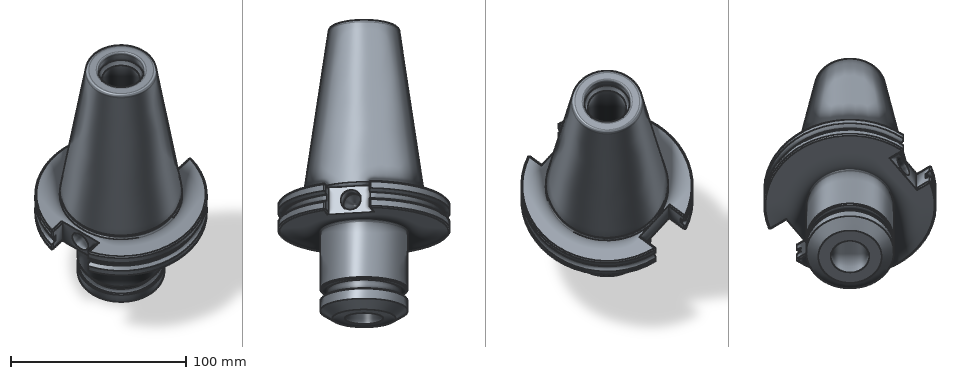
import cadquery as cq
import math

TOTAL_HEIGHT = 172.3
FLANGE_BOTTOM = 51.9
FLANGE_TOP = 67.9
GAUGE_HEIGHT = 71.0

GAUGE_DIAMETER = 69.8
TAPER_RATIO = 7 / 24
TIP_FILLET = 1.9
RELIEF_RADIUS = 34.1
RELIEF_FILLET = 1.0

FLANGE_RADIUS = 49.1
FLANGE_CHAMFER = 0.9
GROOVE_FLOOR_RADIUS = 45.7
GROOVE_BOTTOM = 56.5
GROOVE_TOP = 63.2
GROOVE_SIDE_RISE = 1.5
GROOVE_STEP_RADIUS = 46.7

SLOT_WIDTH = 25.5
SLOT_CHAMFER = 0.9
FRONT_SLOT_FLOOR = 37.4
BACK_SLOT_FLOOR = 35.2

DIMPLE_DIAMETER = 11.7
DIMPLE_DEPTH = 8.6
DIMPLE_POINT_ANGLE = 118.0

BODY_RADIUS = 25.0
BODY_BOTTOM = 16.7
BODY_CHAMFER = 0.7
NECK_RADIUS = 24.8
NECK_FILLET = 0.7
RING_GROOVE_RADIUS = 21.0
COLLAR_TOP = 11.0
COLLAR_BOTTOM = 4.5
END_RADIUS = 18.1

BORE_DIAMETER = 21.9
COUNTERBORE_DIAMETER = 26.2
COUNTERBORE_DEPTH = 6.0
MOUTH_FILLET = 1.2


def make_body():
    """Revolved solid of the taper, flange and lower body."""
    gauge_radius = GAUGE_DIAMETER / 2
    tip_radius = gauge_radius - (TOTAL_HEIGHT - GAUGE_HEIGHT) * TAPER_RATIO / 2
    neck_bottom = FLANGE_BOTTOM - 2 * NECK_FILLET
    neck_top = FLANGE_BOTTOM - NECK_FILLET
    relief_height = FLANGE_TOP + RELIEF_FILLET
    rim_radius = FLANGE_RADIUS - FLANGE_CHAMFER
    arc_inset = 1 - math.sqrt(0.5)
    profile = (
        cq.Workplane("XZ")
        .lineTo(END_RADIUS, 0)
        .lineTo(BODY_RADIUS, COLLAR_BOTTOM)
        .lineTo(BODY_RADIUS, COLLAR_TOP - BODY_CHAMFER)
        .lineTo(BODY_RADIUS - BODY_CHAMFER, COLLAR_TOP)
        .lineTo(RING_GROOVE_RADIUS, COLLAR_TOP)
        .lineTo(RING_GROOVE_RADIUS, BODY_BOTTOM)
        .lineTo(BODY_RADIUS - BODY_CHAMFER, BODY_BOTTOM)
        .lineTo(BODY_RADIUS, BODY_BOTTOM + BODY_CHAMFER)
        .lineTo(BODY_RADIUS, neck_bottom)
        .lineTo(NECK_RADIUS, neck_top)
        .threePointArc(
            (NECK_RADIUS + NECK_FILLET * arc_inset, FLANGE_BOTTOM - NECK_FILLET * arc_inset),
            (NECK_RADIUS + NECK_FILLET, FLANGE_BOTTOM),
        )
        .lineTo(rim_radius, FLANGE_BOTTOM)
        .lineTo(FLANGE_RADIUS, FLANGE_BOTTOM + FLANGE_CHAMFER)
        .lineTo(FLANGE_RADIUS, GROOVE_BOTTOM)
        .lineTo(GROOVE_STEP_RADIUS, GROOVE_BOTTOM + GROOVE_SIDE_RISE)
        .lineTo(GROOVE_FLOOR_RADIUS, GROOVE_BOTTOM + GROOVE_SIDE_RISE)
        .lineTo(GROOVE_FLOOR_RADIUS, GROOVE_TOP - GROOVE_SIDE_RISE)
        .lineTo(GROOVE_STEP_RADIUS, GROOVE_TOP - GROOVE_SIDE_RISE)
        .lineTo(FLANGE_RADIUS, GROOVE_TOP)
        .lineTo(FLANGE_RADIUS, FLANGE_TOP - FLANGE_CHAMFER)
        .lineTo(rim_radius, FLANGE_TOP)
        .lineTo(RELIEF_RADIUS + RELIEF_FILLET, FLANGE_TOP)
        .threePointArc(
            (RELIEF_RADIUS + RELIEF_FILLET * arc_inset, FLANGE_TOP + RELIEF_FILLET * arc_inset),
            (RELIEF_RADIUS, relief_height),
        )
        .lineTo(gauge_radius, GAUGE_HEIGHT)
        .lineTo(tip_radius, TOTAL_HEIGHT)
        .lineTo(0, TOTAL_HEIGHT)
        .close()
    )
    body = profile.revolve(360, (0, 0, 0), (0, 1, 0))
    return body.faces(">Z").edges().fillet(TIP_FILLET)


def cut_bore(body):
    """Through bore with a 45 degree seat, a counterbore and a rounded mouth."""
    bore_radius = BORE_DIAMETER / 2
    counterbore_radius = COUNTERBORE_DIAMETER / 2
    seat_top = TOTAL_HEIGHT - COUNTERBORE_DEPTH
    seat_bottom = seat_top - (counterbore_radius - bore_radius)
    bore = (
        cq.Workplane("XZ")
        .lineTo(bore_radius, 0)
        .lineTo(bore_radius, seat_bottom)
        .lineTo(counterbore_radius, seat_top)
        .lineTo(counterbore_radius, TOTAL_HEIGHT)
        .lineTo(0, TOTAL_HEIGHT)
        .close()
        .revolve(360, (0, 0, 0), (0, 1, 0))
    )
    mouth = cq.selectors.RadiusNthSelector(0)
    return body.cut(bore).faces(">Z").edges(mouth).fillet(MOUTH_FILLET)


def cut_drive_slot(body, side, floor_distance):
    """Radial slot on one side (-1 or +1 along Y) with chamfered wall edges."""
    height = FLANGE_TOP - FLANGE_BOTTOM
    length = FLANGE_RADIUS - floor_distance
    middle = (FLANGE_BOTTOM + FLANGE_TOP) / 2
    slot = (
        cq.Workplane("XY")
        .box(SLOT_WIDTH, length, height)
        .translate((0, side * (floor_distance + length / 2), middle))
    )
    mouth_width = SLOT_WIDTH + 2 * SLOT_CHAMFER
    for face_height, inward in ((FLANGE_TOP, -1), (FLANGE_BOTTOM, 1)):
        flare = (
            cq.Workplane("XZ", origin=(0, side * floor_distance, 0))
            .moveTo(-mouth_width / 2, face_height)
            .lineTo(mouth_width / 2, face_height)
            .lineTo(SLOT_WIDTH / 2, face_height + inward * SLOT_CHAMFER)
            .lineTo(-SLOT_WIDTH / 2, face_height + inward * SLOT_CHAMFER)
            .close()
            .extrude(-side * length)
        )
        slot = slot.union(flare)
    rim_distance = math.sqrt(FLANGE_RADIUS**2 - (mouth_width / 2) ** 2)
    rim_flare = (
        cq.Workplane("XY", origin=(0, 0, FLANGE_BOTTOM))
        .moveTo(-SLOT_WIDTH / 2, side * (rim_distance - SLOT_CHAMFER))
        .lineTo(SLOT_WIDTH / 2, side * (rim_distance - SLOT_CHAMFER))
        .lineTo(mouth_width / 2, side * rim_distance)
        .lineTo(mouth_width / 2, side * FLANGE_RADIUS)
        .lineTo(-mouth_width / 2, side * FLANGE_RADIUS)
        .lineTo(-mouth_width / 2, side * rim_distance)
        .close()
        .extrude(height)
    )
    return body.cut(slot.union(rim_flare))


def cut_dimple(body):
    """Blind drilled hole with a conical point in the front slot floor."""
    radius = DIMPLE_DIAMETER / 2
    point_depth = radius / math.tan(math.radians(DIMPLE_POINT_ANGLE / 2))
    floor_y = -FRONT_SLOT_FLOOR
    shoulder_y = floor_y + DIMPLE_DEPTH
    middle = (FLANGE_BOTTOM + FLANGE_TOP) / 2
    dimple = (
        cq.Workplane("XY", origin=(0, 0, middle))
        .moveTo(0, floor_y)
        .lineTo(radius, floor_y)
        .lineTo(radius, shoulder_y)
        .lineTo(0, shoulder_y + point_depth)
        .close()
        .revolve(360, (0, 0, 0), (0, 1, 0))
    )
    return body.cut(dimple)


result = cut_bore(make_body())
result = cut_drive_slot(result, -1, FRONT_SLOT_FLOOR)
result = cut_drive_slot(result, 1, BACK_SLOT_FLOOR)
result = cut_dimple(result)